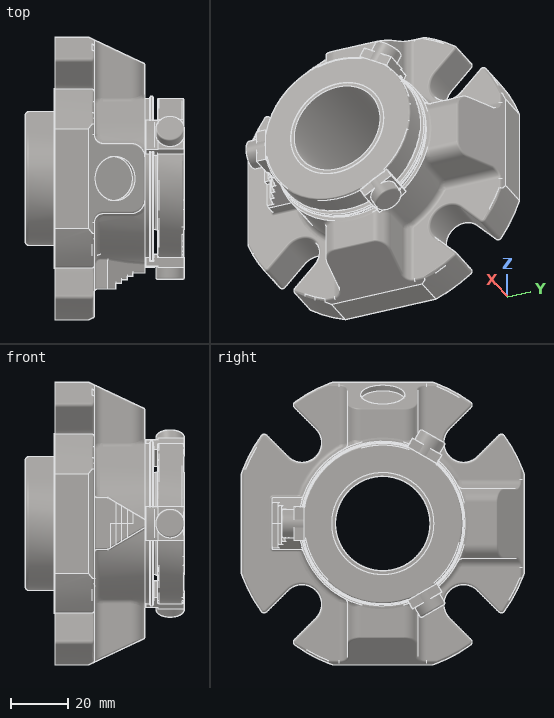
import cadquery as cq
import math

tolerance = 0.02

flange_size = 99.1
half_size = flange_size / 2
overall_length = 55.8

bore_dia = 33.0
nose_dia = 47.1
nose_fillet = 1.5
sleeve_dia = 35.8
sleeve_rib_dia = 36.3
sleeve_rib_length = 0.6

seat_x = 10.2
seat_dia = 63.0
flange_front_x = 10.4
flange_back_x = 24.3
flange_dia = 105.0
back_edge_fillet = 0.9
slot_circle_dia = 79.9
slot_width = 13.7
slot_lip_fillet = 1.3

taper_start_x = 22.2
taper_slope_angle = 25.3

body_dia = 58.8
body_end_x = 42.0
root_fillet = 2.1
boss_half_width = 12.3
boss_end_x = 41.9
boss_flare_radius = 3.1
boss_corner_radius = 4.9
boss_edge_fillet = 0.7

port_dia = 15.5
port_depth = 2.2
port_center_x = 31.5

arrow_half_width = 9.1
arrow_shoulder_x = 28.9
arrow_tip_x = body_end_x
arrow_tip_half_width = 1.4
arrow_top = 38.7
arrow_first_drop = 2.1
arrow_step_drop = 1.2
arrow_first_step_x = 31.8
arrow_step_pitch = 2.0
arrow_step_count = 4
arrow_edge_fillet = 0.5
arrow_root_fillet = 0.9

end_ring_dia = 56.2
snap_ring_dia = 57.7
snap_ring_start_x = 43.6
snap_ring_end_x = 45.0
snap_ring_chamfer = 0.4

collar_dia = 56.2
collar_start_x = 46.4
collar_end_x = 55.6
collar_edge_fillet = 0.6

clip_count = 3
clip_half_width = 5.9
clip_inner = 27.6
clip_outer = 31.1
clip_start_x = 42.3
clip_tongue_inner = 26.4
clip_tongue_start_x = 45.1
clip_pad_x = 46.5
clip_relief_x = 45.4
clip_relief_depth = 0.4
clip_groove_outer = 28.9
screw_head_dia = 10.0
screw_head_top = 35.3
screw_x = overall_length - screw_head_dia / 2
screw_edge_fillet = 0.6


def disc(diameter, start_x, end_x):
    """Round disc about the X axis."""
    return cq.Workplane("YZ", origin=(start_x, 0, 0)).circle(diameter / 2).extrude(end_x - start_x)


def box(x_range, y_range, z_range):
    """Block given by its lower and upper limits on each axis."""
    sizes = [high - low for low, high in (x_range, y_range, z_range)]
    block = cq.Workplane("XY").box(*sizes, centered=False)
    return block.translate((x_range[0], y_range[0], z_range[0]))


def turned(shape, angle):
    """Turn a shape about the X axis."""
    return shape.rotate((0, 0, 0), (1, 0, 0), angle)


def axis_distance(point):
    """Distance of a point from the shaft axis."""
    return math.hypot(point.y, point.z)


def sample_points(edge):
    """Start, middle and end of an edge."""
    return [edge.positionAt(fraction) for fraction in (0, 0.5, 1)]


def taper_height(x):
    """Distance of the sloping faces from the axis plane."""
    return half_size - (x - taper_start_x) * math.tan(math.radians(taper_slope_angle))


def taper_prism():
    """Wide prism that is square-sided up to the taper and slopes inward behind it."""
    end_height = taper_height(body_end_x)
    return (
        cq.Workplane("XZ")
        .moveTo(flange_front_x, -half_size)
        .lineTo(taper_start_x, -half_size)
        .lineTo(body_end_x, -end_height)
        .lineTo(body_end_x, end_height)
        .lineTo(taper_start_x, half_size)
        .lineTo(flange_front_x, half_size)
        .close()
        .extrude(flange_size, both=True)
    )


def tapered(shape):
    """Trim a shape to the four flats and the sloping faces behind them."""
    return shape.intersect(taper_prism()).intersect(turned(taper_prism(), 90))


def slotted_flange():
    """Flange with four flats, four open bolt slots on the diagonals and a rounded back edge."""
    flange = disc(flange_dia, flange_front_x, flange_back_x)
    slot_center = slot_circle_dia / 2
    slot_round = disc(slot_width, flange_front_x, flange_back_x).translate((0, slot_center, 0))
    slot_opening = box(
        (flange_front_x, flange_back_x),
        (slot_center, flange_dia),
        (-slot_width / 2, slot_width / 2),
    )
    slot = slot_round.union(slot_opening)
    for angle in (45, 135, 225, 315):
        flange = flange.cut(turned(slot, angle))
    lips = [edge for edge in flange.edges("|X").vals() if axis_distance(edge.Center()) > half_size]
    flange = tapered(flange.newObject(lips).fillet(slot_lip_fillet))
    return flange.faces(">X").edges().fillet(back_edge_fillet)


def boss():
    """Boss on the +Z side, flared into the flange, before its top is sloped."""
    flare_edge = boss_half_width + boss_flare_radius
    flare_mid = boss_flare_radius * (1 - math.sqrt(0.5))
    corner_mid = boss_corner_radius * (1 - math.sqrt(0.5))
    flare_x = flange_back_x + boss_flare_radius
    corner_x = boss_end_x - boss_corner_radius
    end_half_width = boss_half_width - boss_corner_radius
    half = (
        cq.Workplane("XY")
        .moveTo(flange_back_x - 1, 0)
        .lineTo(flange_back_x - 1, flare_edge)
        .lineTo(flange_back_x, flare_edge)
        .threePointArc(
            (flange_back_x + flare_mid, boss_half_width + flare_mid),
            (flare_x, boss_half_width),
        )
        .lineTo(corner_x, boss_half_width)
        .threePointArc(
            (boss_end_x - corner_mid, boss_half_width - corner_mid),
            (boss_end_x, end_half_width),
        )
        .lineTo(boss_end_x, 0)
        .close()
        .extrude(half_size)
    )
    return half.union(half.mirror("XZ")).clean()


def port():
    """Shallow round recess square to the sloping face of the upper boss."""
    slope = math.radians(taper_slope_angle)
    plane = cq.Plane(
        origin=(port_center_x, 0, taper_height(port_center_x)),
        xDir=(0, 1, 0),
        normal=(math.sin(slope), 0, math.cos(slope)),
    )
    return cq.Workplane(plane).circle(port_dia / 2).extrude(-port_depth)


def arrow():
    """Arrow pointing to +X whose top falls in steps, one step earlier on its lower half."""
    blank = (
        cq.Workplane("XZ")
        .moveTo(flange_back_x, -arrow_half_width)
        .lineTo(arrow_shoulder_x, -arrow_half_width)
        .lineTo(arrow_tip_x, -arrow_tip_half_width)
        .lineTo(arrow_tip_x, arrow_tip_half_width)
        .lineTo(arrow_shoulder_x, arrow_half_width)
        .lineTo(flange_back_x, arrow_half_width)
        .close()
        .extrude(arrow_top)
    )
    for step in range(arrow_step_count):
        upper_x = arrow_first_step_x + step * arrow_step_pitch
        lower_x = upper_x - arrow_step_pitch
        level = arrow_top - arrow_first_drop - step * arrow_step_drop
        blank = blank.cut(box((upper_x, arrow_tip_x), (-arrow_top, -level), (0, arrow_half_width)))
        blank = blank.cut(box((lower_x, arrow_tip_x), (-arrow_top, -level), (-arrow_half_width, 0)))
    side_edges = [
        edge
        for edge in blank.edges("not (|Y or |Z)").vals()
        if edge.Center().y < -body_dia / 2 and abs(edge.Center().z) > tolerance
    ]
    return blank.newObject(side_edges).fillet(arrow_edge_fillet)


def is_root_edge(edge):
    """True for an edge where the body cylinder meets the flange or a boss side."""
    return edge.Center().x < boss_end_x - boss_corner_radius / 2 and all(
        abs(axis_distance(point) - body_dia / 2) < tolerance and point.x > flange_back_x - tolerance
        for point in sample_points(edge)
    )


def is_boss_edge(edge):
    """True for an edge around the sloping face of a boss."""
    return all(
        abs(max(abs(point.y), abs(point.z)) - taper_height(point.x)) < tolerance
        for point in sample_points(edge)
    ) and edge.Center().x > flange_back_x + tolerance


def is_arrow_root_edge(edge):
    """True for an edge where an arrow wall meets the body or the flange."""
    points = sample_points(edge)
    beside_arrow = all(
        point.y < 0 and abs(point.z) < arrow_half_width + tolerance and point.x > flange_back_x - tolerance
        for point in points
    )
    on_flange = all(point.x < flange_back_x + tolerance for point in points)
    on_body = all(axis_distance(point) < body_dia / 2 + root_fillet + tolerance for point in points)
    runs_along_x = abs(points[0].x - points[-1].x) > tolerance
    return beside_arrow and (on_flange or (on_body and runs_along_x))


def fillet_where(shape, condition, radius):
    """Fillet the edges of a shape that meet a condition."""
    return shape.newObject([edge for edge in shape.edges().vals() if condition(edge)]).fillet(radius)


def gland():
    """Flange, body and bosses, with the port and arrow."""
    bosses = boss().union(turned(boss(), 180)).union(turned(boss(), -90))
    body = disc(body_dia, flange_front_x, body_end_x)
    blank = slotted_flange().union(body).union(tapered(bosses))
    blank = fillet_where(blank, is_root_edge, root_fillet)
    blank = fillet_where(blank, is_boss_edge, boss_edge_fillet)
    blank = fillet_where(blank.union(arrow()), is_arrow_root_edge, arrow_root_fillet)
    return blank.cut(port()).union(disc(seat_dia, seat_x, flange_back_x))


def sleeve():
    """Sleeve with its front collar and the thin rib next to the drive collar."""
    nose = disc(nose_dia, 0, seat_x).faces("<X").edges().fillet(nose_fillet)
    tube = disc(sleeve_dia, 0, overall_length)
    rib = disc(sleeve_rib_dia, collar_start_x - sleeve_rib_length, collar_start_x)
    return nose.union(tube).union(rib)


def rear_rings():
    """Plain end ring and the larger snap ring behind the gland."""
    end_ring = disc(end_ring_dia, body_end_x, snap_ring_end_x)
    snap_ring = disc(snap_ring_dia, snap_ring_start_x, snap_ring_end_x)
    return end_ring.union(snap_ring.edges().chamfer(snap_ring_chamfer))


def drive_collar():
    """Collar clamped on the sleeve end."""
    return disc(collar_dia, collar_start_x, collar_end_x).edges().fillet(collar_edge_fillet)


def setting_clip():
    """Setting clip and screw head on the +Y side."""
    width = (-clip_half_width, clip_half_width)
    plate = box((clip_start_x, collar_end_x), (clip_inner, clip_outer), width)
    groove = box((snap_ring_start_x, snap_ring_end_x), (clip_inner, clip_groove_outer), width)
    tongue = box((clip_tongue_start_x, collar_start_x), (clip_tongue_inner, clip_inner), width)
    relief = box((clip_relief_x, clip_pad_x), (clip_outer - clip_relief_depth, clip_outer), width)
    rounded = disc(2 * clip_outer, clip_start_x, clip_pad_x)
    pad = box((clip_pad_x, collar_end_x), (clip_inner, clip_outer), width)
    clip = plate.cut(groove).union(tongue).cut(relief).intersect(rounded.union(pad))
    head = (
        cq.Workplane("XZ", origin=(screw_x, clip_inner, 0))
        .circle(screw_head_dia / 2)
        .extrude(clip_inner - screw_head_top)
        .faces(">Y")
        .edges()
        .fillet(screw_edge_fillet)
    )
    return clip.union(head)


assembly = gland().union(sleeve()).union(rear_rings()).union(drive_collar())
for index in range(clip_count):
    assembly = assembly.union(turned(setting_clip(), 180 + index * 360 / clip_count))

result = assembly.cut(disc(bore_dia, 0, overall_length))